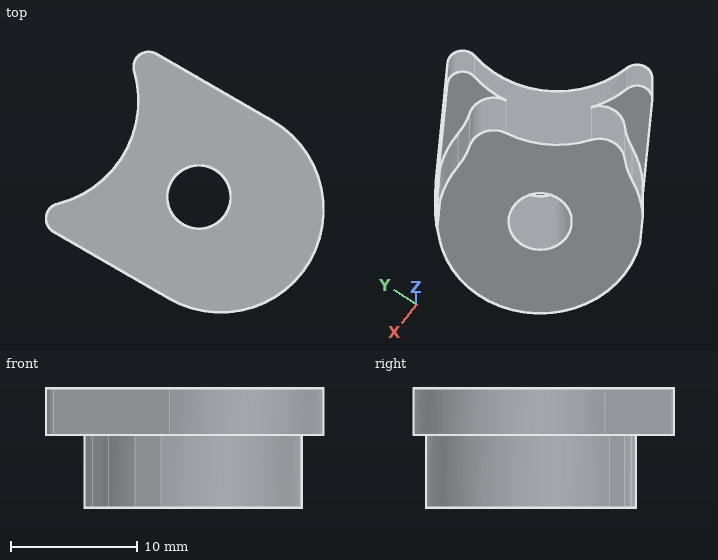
import cadquery as cq
import math

axis_angle = 150
plate_thickness = 3.71
boss_height = 5.75
bore_diameter = 5.0

outer_radius = 8.13
round_end_offset = 2.0
saddle_radius = 8.37
saddle_distance = 15.2
tip_radius = 1.2

boss_half_width = 8.05
lobe_radius = 2.0
lobe_side_offset = 4.2
blend_radius = 6.0


def toward(start, end, distance):
    """Point at a given distance from start on the way to end."""
    length = math.dist(start, end)
    return tuple(s + (e - s) * distance / length for s, e in zip(start, end))


def mirrored(point):
    return (point[0], -point[1])


def saddle_neighbour(radius, side_offset):
    """Centre of a round that touches the saddle from outside."""
    return (saddle_distance - math.sqrt((saddle_radius + radius) ** 2 - side_offset**2), side_offset)


def arc_middle(center, start, end, radius):
    """Middle of the shorter arc between two points around a centre."""
    chord_middle = ((start[0] + end[0]) / 2, (start[1] + end[1]) / 2)
    return toward(center, chord_middle, radius)


bore_center = (0, 0)
saddle_center = (saddle_distance, 0)
saddle_bottom = (saddle_distance - saddle_radius, 0)


def make_plate():
    tip_center = saddle_neighbour(tip_radius, outer_radius - tip_radius)
    saddle_end = toward(saddle_center, tip_center, saddle_radius)
    tip_side = (tip_center[0], outer_radius)
    start_angle = math.atan2(saddle_end[1] - tip_center[1], saddle_end[0] - tip_center[0])
    middle_angle = (start_angle + math.pi / 2) / 2
    tip_middle = (
        tip_center[0] + tip_radius * math.cos(middle_angle),
        tip_center[1] + tip_radius * math.sin(middle_angle),
    )
    round_end_start = (-round_end_offset, outer_radius)
    round_end_middle = (-round_end_offset - outer_radius, 0)
    return (
        cq.Workplane("XY")
        .moveTo(*saddle_end)
        .threePointArc(tip_middle, tip_side)
        .lineTo(*round_end_start)
        .threePointArc(round_end_middle, mirrored(round_end_start))
        .lineTo(*mirrored(tip_side))
        .threePointArc(mirrored(tip_middle), mirrored(saddle_end))
        .threePointArc(saddle_bottom, saddle_end)
        .close()
        .extrude(plate_thickness)
    )


def make_boss():
    lobe_center = saddle_neighbour(lobe_radius, lobe_side_offset)
    saddle_end = toward(saddle_center, lobe_center, saddle_radius)

    lobe_distance = math.hypot(*lobe_center)
    to_body = outer_radius + blend_radius
    to_lobe = lobe_radius + blend_radius
    angle_at_bore = math.acos((to_body**2 + lobe_distance**2 - to_lobe**2) / (2 * to_body * lobe_distance))
    blend_angle = math.atan2(lobe_center[1], lobe_center[0]) + angle_at_bore
    blend_center = (to_body * math.cos(blend_angle), to_body * math.sin(blend_angle))
    lobe_end = toward(lobe_center, blend_center, lobe_radius)
    body_start = toward(bore_center, blend_center, outer_radius)

    flat_half_length = math.sqrt(outer_radius**2 - boss_half_width**2)
    flat_front = (flat_half_length, boss_half_width)
    flat_back = (-flat_half_length, boss_half_width)

    lobe_middle = arc_middle(lobe_center, saddle_end, lobe_end, lobe_radius)
    blend_middle = arc_middle(blend_center, lobe_end, body_start, blend_radius)
    body_middle = arc_middle(bore_center, body_start, flat_front, outer_radius)
    return (
        cq.Workplane("XY")
        .moveTo(*saddle_end)
        .threePointArc(lobe_middle, lobe_end)
        .threePointArc(blend_middle, body_start)
        .threePointArc(body_middle, flat_front)
        .lineTo(*flat_back)
        .threePointArc((-outer_radius, 0), mirrored(flat_back))
        .lineTo(*mirrored(flat_front))
        .threePointArc(mirrored(body_middle), mirrored(body_start))
        .threePointArc(mirrored(blend_middle), mirrored(lobe_end))
        .threePointArc(mirrored(lobe_middle), mirrored(saddle_end))
        .threePointArc(saddle_bottom, saddle_end)
        .close()
        .extrude(-boss_height)
    )


bore = (
    cq.Workplane("XY")
    .workplane(offset=-boss_height)
    .circle(bore_diameter / 2)
    .extrude(boss_height + plate_thickness)
)
body = make_plate().union(make_boss()).cut(bore)
result = body.rotate((0, 0, 0), (0, 0, 1), axis_angle)